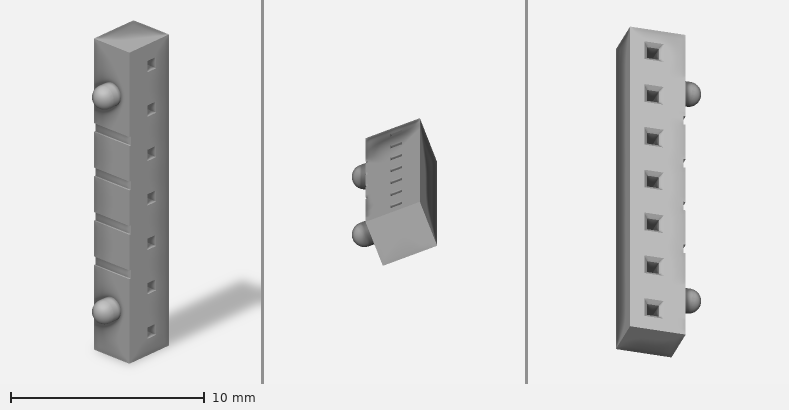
import cadquery as cq

width = 2.5
body_depth = 3.0
height = 17.78

contact_count = 7
pitch = height / contact_count
contact_y = 1.7
contact_size = 0.64
mouth_size = 1.05
lead_in_depth = (mouth_size - contact_size) / 2

groove_count = 4
groove_width = 0.5
groove_depth = 0.1

peg_diameter = 1.3
peg_length = 1.2
peg_spacing = 12.27


def spaced(count, spacing):
    """Positions evenly spaced about zero."""
    return [(i - (count - 1) / 2) * spacing for i in range(count)]


def contact_opening(z):
    """Square through hole with a tapered lead-in on the -X face."""
    hole = cq.Workplane("XY").box(width, contact_size, contact_size)
    hole = hole.translate((0, contact_y, z))
    lead_in = (
        cq.Workplane("YZ", origin=(-width / 2, contact_y, z))
        .rect(mouth_size, mouth_size)
        .workplane(offset=lead_in_depth)
        .rect(contact_size, contact_size)
        .loft(ruled=True)
    )
    return hole.union(lead_in)


def groove(z):
    """Rectangular groove across the full width of the front face."""
    cutter = cq.Workplane("XY").box(width, 2 * groove_depth, groove_width)
    return cutter.translate((0, 0, z))


def peg(z):
    """Cylinder pointing along -Y with a hemispherical end."""
    radius = peg_diameter / 2
    straight_length = peg_length - radius
    shaft = cq.Workplane("XZ", origin=(0, 0, z)).circle(radius).extrude(straight_length)
    dome = cq.Workplane("XY").sphere(radius).translate((0, -straight_length, z))
    front_half = (
        cq.Workplane("XZ", origin=(0, -straight_length, z))
        .rect(2 * peg_diameter, 2 * peg_diameter)
        .extrude(peg_diameter)
    )
    return shaft.union(dome.intersect(front_half))


result = cq.Workplane("XY").box(width, body_depth, height).translate((0, body_depth / 2, 0))

for z in spaced(contact_count, pitch):
    result = result.cut(contact_opening(z))

for z in spaced(groove_count, pitch):
    result = result.cut(groove(z))

for z in spaced(2, peg_spacing):
    result = result.union(peg(z))